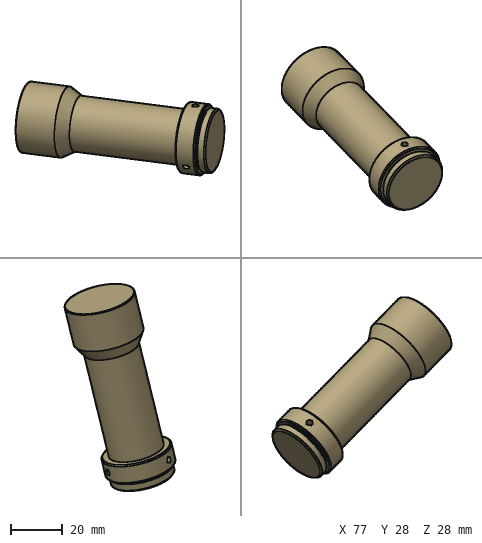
import cadquery as cq
import math

TOTAL_LENGTH = 77.0
HEAD_LENGTH = 15.95
COLLAR_START = 65.0
COLLAR_LENGTH = 8.0
GROOVE_WIDTH = 0.8

HEAD_DIAMETER = 28.0
TUBE_DIAMETER = 22.0
COLLAR_DIAMETER = HEAD_DIAMETER
GROOVE_DIAMETER = 24.0
SPIGOT_DIAMETER = 25.4

HEAD_CHAMFER = 0.3
COLLAR_CHAMFER = 0.55
SPIGOT_CHAMFER = 0.6
TAPER_ANGLE = 30.0

HOLE_COUNT = 3
HOLE_DIAMETER = 2.5
HOLE_DEPTH = 4.0
DRILL_TIP_ANGLE = 118.0


def turned_body():
    """Revolve the half profile of the whole part about the X axis."""
    head_radius = HEAD_DIAMETER / 2
    tube_radius = TUBE_DIAMETER / 2
    collar_radius = COLLAR_DIAMETER / 2
    groove_radius = GROOVE_DIAMETER / 2
    spigot_radius = SPIGOT_DIAMETER / 2

    taper_length = (head_radius - tube_radius) / math.tan(math.radians(TAPER_ANGLE))
    taper_end = HEAD_LENGTH + taper_length
    collar_end = COLLAR_START + COLLAR_LENGTH
    groove_end = collar_end + GROOVE_WIDTH

    profile = [
        (0, 0),
        (0, head_radius - HEAD_CHAMFER),
        (HEAD_CHAMFER, head_radius),
        (HEAD_LENGTH, head_radius),
        (taper_end, tube_radius),
        (COLLAR_START, tube_radius),
        (COLLAR_START, collar_radius - COLLAR_CHAMFER),
        (COLLAR_START + COLLAR_CHAMFER, collar_radius),
        (collar_end - COLLAR_CHAMFER, collar_radius),
        (collar_end, collar_radius - COLLAR_CHAMFER),
        (collar_end, groove_radius),
        (groove_end, groove_radius),
        (groove_end, spigot_radius),
        (TOTAL_LENGTH - SPIGOT_CHAMFER, spigot_radius),
        (TOTAL_LENGTH, spigot_radius - SPIGOT_CHAMFER),
        (TOTAL_LENGTH, 0),
    ]
    return cq.Workplane("XY").polyline(profile).close().revolve(360, (0, 0, 0), (1, 0, 0))


def screw_hole():
    """Drill shape entering the top of the collar, with a conical bottom."""
    hole_radius = HOLE_DIAMETER / 2
    tip_height = hole_radius / math.tan(math.radians(DRILL_TIP_ANGLE / 2))
    rim = COLLAR_DIAMETER / 2
    floor = rim - HOLE_DEPTH
    collar_middle = COLLAR_START + COLLAR_LENGTH / 2
    drill_profile = [(0, rim), (hole_radius, rim), (hole_radius, floor), (0, floor - tip_height)]
    return (
        cq.Workplane("XZ")
        .polyline(drill_profile)
        .close()
        .revolve(360, (0, 0, 0), (0, 1, 0))
        .translate((collar_middle, 0, 0))
    )


result = turned_body()
for index in range(HOLE_COUNT):
    hole = screw_hole().rotate((0, 0, 0), (1, 0, 0), index * 360 / HOLE_COUNT)
    result = result.cut(hole)